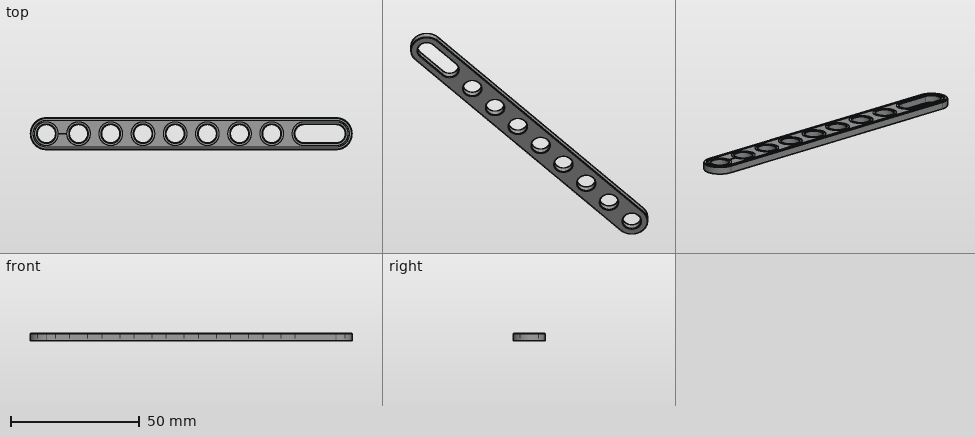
import cadquery as cq

pitch = 12.5
round_hole_count = 8
slot_length = pitch
thickness = pitch / 4
hole_diameter = 7.0
collar_diameter = 9.2
rim_width = 1.1
recess_depth = 0.2
edge_chamfer = 0.3
groove_width = 0.1
groove_depth = 0.2

grid_length = pitch * round_hole_count + slot_length
first_hole_x = -grid_length / 2
hole_xs = [first_hole_x + pitch * i for i in range(round_hole_count)]
slot_x = (grid_length - slot_length) / 2
bottom_z = -thickness / 2
recess_floor_z = thickness / 2 - recess_depth


def rounded_bar(centre_distance, width, x, base_z, height):
    """Upright round-ended bar whose end-arc centres lie centre_distance apart along X."""
    outline = cq.Workplane("XY", origin=(x, 0, base_z)).slot2D(centre_distance + width, width)
    return outline.extrude(height)


def opening_columns(width, base_z, height):
    """Columns of the given width standing at every round hole and at the slot."""
    columns = rounded_bar(slot_length, width, slot_x, base_z, height)
    for x in hole_xs:
        column = cq.Workplane("XY", origin=(x, 0, base_z)).circle(width / 2).extrude(height)
        columns = columns.union(column)
    return columns


def pierced_strip():
    """Round-ended strip with its openings, bevelled along every top and bottom edge."""
    blank = rounded_bar(grid_length, pitch, 0, bottom_z, thickness)
    pierced = blank.cut(opening_columns(hole_diameter, bottom_z, thickness))
    return pierced.faces("<Z or >Z").edges().chamfer(edge_chamfer)


def top_recess():
    """Shallow pocket in the top face that spares the rim and the collars."""
    pocket = rounded_bar(grid_length, pitch - 2 * rim_width, 0, recess_floor_z, recess_depth)
    collars = opening_columns(collar_diameter, recess_floor_z, recess_depth)
    return pocket.cut(collars)


def floor_groove():
    """Fine groove on the centreline of the recess floor, from the first collar to the second."""
    centre_x = (hole_xs[0] + hole_xs[1]) / 2
    length = pitch - collar_diameter
    outline = cq.Workplane("XY", origin=(centre_x, 0, recess_floor_z)).rect(length, groove_width)
    return outline.extrude(-groove_depth)


result = pierced_strip().cut(top_recess()).cut(floor_groove())